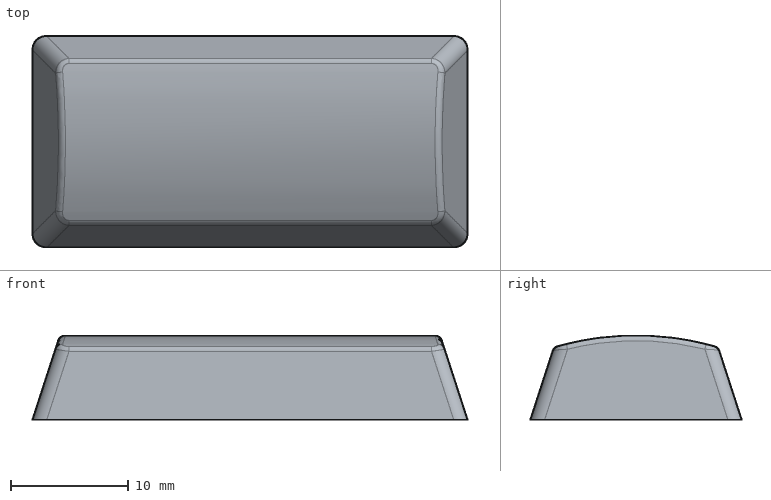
import cadquery as cq

base_length = 37.05
base_width = 18.0
height = 7.2

wall_draft = 18.0
crown_radius = 24.45

corner_fillet = 1.25
top_fillet = 0.63

trim_margin = 1.1


def make_tapered_block():
    """Drafted block with rounded corner edges, taller than the finished part."""
    block = (
        cq.Workplane("XY")
        .rect(base_length, base_width)
        .extrude(height + trim_margin, taper=wall_draft)
    )
    return block.edges("not(#Z)").fillet(corner_fillet)


def make_crown():
    """Cylinder along X whose highest line is the top of the part."""
    return (
        cq.Workplane("YZ")
        .center(0, height - crown_radius)
        .circle(crown_radius)
        .extrude(base_length / 2, both=True)
    )


def round_top_rim(body):
    """Round the closed rim where the crown meets the walls."""
    crown_face = body.faces(cq.selectors.NearestToPointSelector((0, 0, height)))
    return crown_face.edges().fillet(top_fillet)


crowned_block = make_tapered_block().intersect(make_crown())
result = round_top_rim(crowned_block)